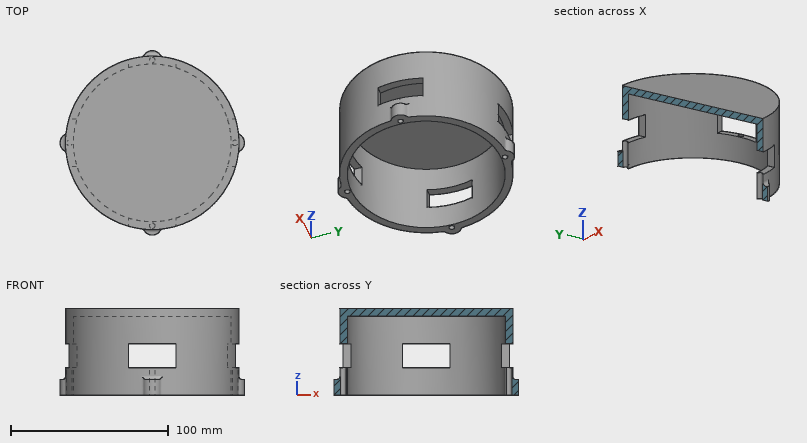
import cadquery as cq
import math

outer_radius = 110 / 2
inner_radius = 100 / 2
height = 55
wall_thickness = outer_radius - inner_radius
roof_thickness = wall_thickness

window_width = 30
window_height = 15
window_sill = 17.5

lug_radius = 6
lug_height = 10
lug_fillet = 2
lug_center = (inner_radius + outer_radius) / 2

hole_diameter = 3.5

match_tolerance = 0.01

quarter_turns = [0, 90, 180, 270]


def make_body():
    return cq.Workplane("XY").circle(outer_radius).extrude(height)


def around(feature):
    """Join four copies of a feature, turned about the Z axis."""
    copies = cq.Workplane("XY")
    for angle in quarter_turns:
        copies = copies.add(feature.rotate((0, 0, 0), (0, 0, 1), angle).vals())
    return copies.combine()


def add_lugs(body):
    """Join the lugs to the wall and blend each one into it along its sides and top."""
    lug = cq.Workplane("XY").center(lug_center, 0).circle(lug_radius).extrude(lug_height)
    body = body.union(around(lug))

    joints = []
    for edge in body.edges().vals():
        middle = edge.positionAt(0.5)
        on_wall = abs(math.hypot(middle.x, middle.y) - outer_radius) < match_tolerance
        if on_wall and 0 < middle.z <= lug_height + match_tolerance:
            joints.append(edge)
    return body.newObject(joints).fillet(lug_fillet)


def cut_cavity(body):
    cavity = cq.Workplane("XY").circle(inner_radius).extrude(height - roof_thickness)
    return body.cut(cavity)


def cut_windows(body):
    window = (
        cq.Workplane("XY", origin=(0, 0, window_sill))
        .rect(2 * outer_radius, window_width)
        .extrude(window_height)
    )
    body = body.cut(window)
    return body.cut(window.rotate((0, 0, 0), (0, 0, 1), 90))


def cut_screw_holes(body):
    hole = cq.Workplane("XY").center(lug_center, 0).circle(hole_diameter / 2).extrude(window_sill)
    return body.cut(around(hole))


result = make_body()
result = add_lugs(result)
result = cut_cavity(result)
result = cut_windows(result)
result = cut_screw_holes(result)